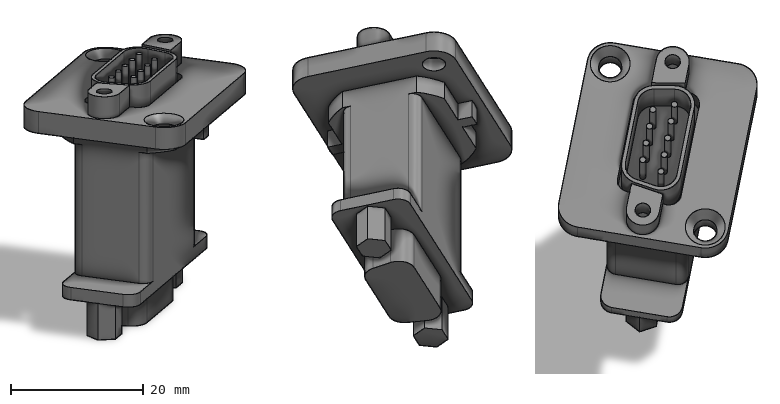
import cadquery as cq
import math

socket_height = 6.0
flange_thickness = 2.0
body_height = 21.0
collar_height = 3.0
plate_thickness = 3.5
lug_height = 3.5
shell_height = 3.35

flange_bottom = socket_height
body_bottom = flange_bottom + flange_thickness
collar_bottom = body_bottom + body_height
plate_bottom = collar_bottom + collar_height
plate_top = plate_bottom + plate_thickness
shell_top = plate_top + shell_height

plate_width = 26.0
plate_length = 31.0
plate_corner_radius = 3.5
mount_hole_x = 9.5
mount_hole_y = 12.0
mount_hole_diameter = 3.5
countersink_diameter = 6.0
countersink_angle = 90.0

collar_radius = 11.65
collar_flat_width = 18.65
key_width = 2.1

body_width = 12.5
body_length = 20.0
body_corner_radius = 1.6
flange_corner_radius = 2.0

d_taper = math.radians(10.0)
socket_width = 8.0
socket_length = 15.86
socket_corner_radius = 2.5
shell_wall = 0.58
opening_gap = 0.4
opening_corner_radius = 1.9
cavity_depth = 6.2

pin_diameter = 0.95
pin_pitch = 2.82
pin_row_spacing = 3.05
long_row_count = 5
short_row_count = 4

screw_y = 12.5
lug_width = 5.0
lug_hole_diameter = 2.3
hexagon_sides = 6
standoff_across_corners = 5.35


def block(width, length, corner_radius, bottom, height):
    """Rectangular block centred on Z with rounded vertical edges."""
    blank = cq.Workplane("XY", origin=(0, 0, bottom)).rect(width, length).extrude(height)
    return blank.edges("|Z").fillet(corner_radius)


def d_prism(offset, corner_radius, bottom, top):
    """D-shaped prism, the socket outline grown outward by offset."""
    half_width = socket_width / 2 + offset
    half_length = socket_length / 2 + offset / math.cos(d_taper)
    taper_rise = half_width * math.tan(d_taper)
    corners = [
        (-half_width, -half_length - taper_rise),
        (half_width, -half_length + taper_rise),
        (half_width, half_length - taper_rise),
        (-half_width, half_length + taper_rise),
    ]
    outline = cq.Workplane("XY", origin=(0, 0, bottom)).polyline(corners).close()
    return outline.extrude(top - bottom).edges("|Z").fillet(corner_radius)


def make_plate():
    plate = block(plate_width, plate_length, plate_corner_radius, plate_bottom, plate_thickness)
    hole_centers = [(-mount_hole_x, mount_hole_y), (mount_hole_x, -mount_hole_y)]
    return (
        plate.faces(">Z").workplane(origin=(0, 0, plate_top))
        .pushPoints(hole_centers)
        .cskHole(mount_hole_diameter, countersink_diameter, countersink_angle)
    )


def make_collar():
    base = cq.Workplane("XY", origin=(0, 0, collar_bottom))
    disc = base.circle(collar_radius).extrude(collar_height)
    flats = base.rect(collar_flat_width, body_length).extrude(collar_height)
    keys = base.rect(2 * collar_radius, key_width).extrude(collar_height)
    return disc.intersect(flats.union(keys))


def make_lugs():
    """Round-ended bar that the D-shaped opening splits into two lugs."""
    base = cq.Workplane("XY", origin=(0, 0, plate_top))
    return base.slot2D(2 * screw_y + lug_width, lug_width, 90).extrude(lug_height)


def make_lug_holes():
    base = cq.Workplane("XY", origin=(0, 0, plate_top + lug_height))
    centers = [(0, -screw_y), (0, screw_y)]
    return base.pushPoints(centers).circle(lug_hole_diameter / 2).extrude(-lug_height)


def make_standoffs():
    """Hexagonal posts with two corners pointing along Y."""
    base = cq.Workplane("XY").transformed(rotate=(0, 0, 90))
    centers = [(-screw_y, 0), (screw_y, 0)]
    return base.pushPoints(centers).polygon(hexagon_sides, standoff_across_corners).extrude(socket_height)


def make_pins():
    centers = []
    rows = [(-pin_row_spacing / 2, long_row_count), (pin_row_spacing / 2, short_row_count)]
    for row_x, count in rows:
        for index in range(count):
            centers.append((row_x, (index - (count - 1) / 2) * pin_pitch))
    base = cq.Workplane("XY", origin=(0, 0, shell_top - cavity_depth))
    return base.pushPoints(centers).circle(pin_diameter / 2).extrude(cavity_depth)


shell_corner_radius = socket_corner_radius + shell_wall

opening = d_prism(shell_wall + opening_gap, opening_corner_radius, plate_bottom, plate_top + lug_height)
shell = d_prism(shell_wall, shell_corner_radius, plate_bottom, shell_top)
cavity = d_prism(0, socket_corner_radius, shell_top - cavity_depth, shell_top)
socket = d_prism(0, socket_corner_radius, 0, flange_bottom)
flange = block(body_width, plate_length, flange_corner_radius, flange_bottom, flange_thickness)
body = block(body_width, body_length, body_corner_radius, body_bottom, body_height)

result = make_plate().union(make_lugs()).cut(opening).cut(make_lug_holes())
result = result.union(shell).union(make_collar()).cut(cavity).union(make_pins())
result = result.union(body).union(flange).union(socket).union(make_standoffs())